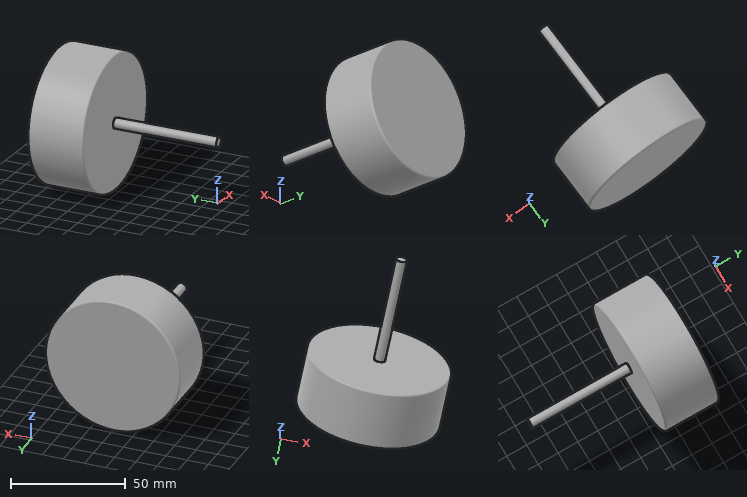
import cadquery as cq

total_length = 77.0
drum_diameter = 64.0
drum_length = 27.0
rod_diameter = 5.0
edge_radius = 1.0

rod_length = total_length - drum_length


def make_drum():
    """Solid drum from the XZ plane toward +Y, with both rims rounded."""
    drum = cq.Workplane("XZ").circle(drum_diameter / 2).extrude(-drum_length)
    return drum.edges("%CIRCLE").fillet(edge_radius)


def make_rod():
    """Plain rod standing on the drum's -Y face."""
    return cq.Workplane("XZ").circle(rod_diameter / 2).extrude(rod_length)


result = make_drum().union(make_rod())